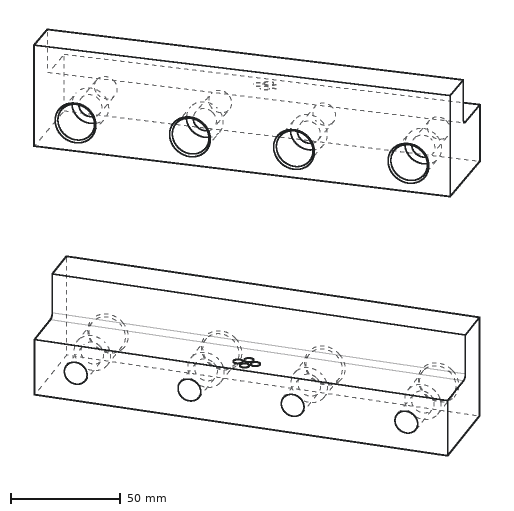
import cadquery as cq

length = 200.0
depth = 45.0
height = 50.0

wall_thickness = 20.0
ledge_height = 28.0
corner_radius = 2.5

hole_diameter = 11.0
counterbore_diameter = 17.5
counterbore_depth = 22.0
counterbore_chamfer = 1.0
hole_height = 14.0
outer_hole_spacing = 160.0
inner_hole_spacing = 50.0

pad_diameter = 4.5
pad_height = 0.2
pad_offset_x = 4.2
pad_offset_y = 3.0
pad_inset = 8.0


def body():
    """Bar along X with a front wall and a lower ledge behind it."""
    section = (
        cq.Workplane("YZ")
        .moveTo(0, 0)
        .lineTo(depth, 0)
        .lineTo(depth, ledge_height)
        .lineTo(wall_thickness + corner_radius, ledge_height)
        .radiusArc((wall_thickness, ledge_height + corner_radius), corner_radius)
        .lineTo(wall_thickness, height)
        .lineTo(0, height)
        .close()
    )
    return section.extrude(length)


def screw_hole(x):
    """Cutter, revolved about the hole axis: chamfer, counterbore and through hole."""
    hole_radius = hole_diameter / 2
    bore_radius = counterbore_diameter / 2
    profile = (
        cq.Workplane("XY")
        .moveTo(0, 0)
        .lineTo(bore_radius + counterbore_chamfer, 0)
        .lineTo(bore_radius, counterbore_chamfer)
        .lineTo(bore_radius, counterbore_depth)
        .lineTo(hole_radius, counterbore_depth)
        .lineTo(hole_radius, depth)
        .lineTo(0, depth)
        .close()
    )
    return profile.revolve(360, (0, 0, 0), (0, 1, 0)).translate((x, 0, hole_height))


def raised_pads():
    """Diamond of thin round pads centred along the ledge."""
    offsets = [(-pad_offset_x, 0), (pad_offset_x, 0), (0, -pad_offset_y), (0, pad_offset_y)]
    return (
        cq.Workplane("XY", origin=(length / 2, depth - pad_inset, ledge_height))
        .pushPoints(offsets)
        .circle(pad_diameter / 2)
        .extrude(pad_height)
    )


result = body().union(raised_pads())
for spacing in (outer_hole_spacing, inner_hole_spacing):
    for side in (-1, 1):
        result = result.cut(screw_hole(length / 2 + side * spacing / 2))